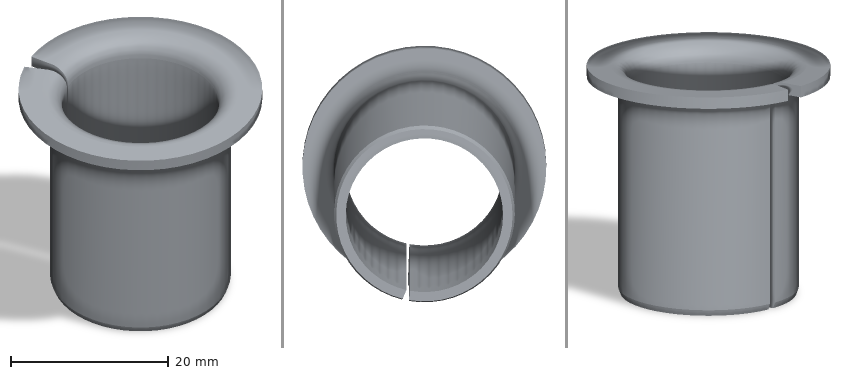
import cadquery as cq
import math

bore_diameter = 20.0
wall = 1.5
flange_diameter = 31.0
total_length = 30.0
bend_outer_radius = 1.0
chamfer_length = 0.8
chamfer_angle = 20.0
slit_gap_at_bore = 0.4
slit_half_angle = 10.0

bore_radius = bore_diameter / 2
body_radius = bore_radius + wall
flange_radius = flange_diameter / 2
bend_inner_radius = bend_outer_radius + wall
bend_center_radius = body_radius + bend_outer_radius
flange_underside = total_length - wall
bend_start = total_length - bend_inner_radius
chamfer_depth = chamfer_length * math.tan(math.radians(chamfer_angle))


def bend_midpoint(radius):
    """Middle point of the quarter bend between sleeve and flange, as (r, z)."""
    offset = radius * math.sqrt(0.5)
    return (bend_center_radius - offset, bend_start + offset)


def make_sleeve():
    """Constant-wall sleeve bent outwards into a flange at its top end."""
    return (
        cq.Workplane("XZ")
        .moveTo(bore_radius, 0)
        .lineTo(body_radius - chamfer_depth, 0)
        .lineTo(body_radius, chamfer_length)
        .lineTo(body_radius, bend_start)
        .threePointArc(bend_midpoint(bend_outer_radius), (bend_center_radius, flange_underside))
        .lineTo(flange_radius, flange_underside)
        .lineTo(flange_radius, total_length)
        .lineTo(bend_center_radius, total_length)
        .threePointArc(bend_midpoint(bend_inner_radius), (bore_radius, bend_start))
        .close()
        .revolve(360, (0, 0, 0), (0, 1, 0))
        .rotate((0, 0, 0), (0, 0, 1), 180)
    )


def make_slit():
    """Wedge on the -X side that opens outwards and splits the full length."""
    half_gap = slit_gap_at_bore / 2
    apex_x = -bore_radius + half_gap / math.tan(math.radians(slit_half_angle))
    outer_x = -flange_diameter
    outer_half_width = (apex_x - outer_x) * math.tan(math.radians(slit_half_angle))
    return (
        cq.Workplane("XY")
        .moveTo(apex_x, 0)
        .lineTo(outer_x, outer_half_width)
        .lineTo(outer_x, -outer_half_width)
        .close()
        .extrude(total_length)
    )


result = make_sleeve().cut(make_slit())